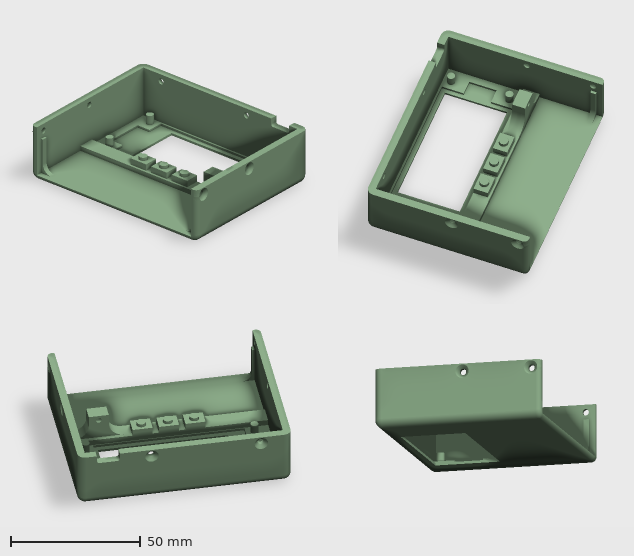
import cadquery as cq

WIDTH = 84.0
DEPTH = 67.0
HEIGHT = 23.0
WALL = 3.0
FLOOR = 2.0
OUTER_RADIUS = 3.0
FRONT_RADIUS = 1.9
INNER_HALF_WIDTH = WIDTH / 2 - WALL
INNER_BACK = DEPTH - WALL
OVERCUT = 0.8

SCREW_DIAMETER = 2.5
SINK_DIAMETER = 5.3
SCREW_Z = HEIGHT - 3.0
SIDE_SCREW_YS = (4.0, 31.5)
BACK_SCREW_XS = (-30.0, 13.1)

NOTCH_X = (25.7, 34.8)
NOTCH_DEPTH = 3.45
NOTCH_RADIUS = 1.0

RECESS_FLOOR = FLOOR / 2
RECESS_X = (-29.5, 30.1)
RECESS_Y = (33.7, 63.25)
LEFT_WING_END = -35.45
LEFT_WING_Y = (40.3, 56.4)
RIGHT_WING_END = 36.0
RIGHT_WING_Y = (42.8, 54.2)
WINDOW_X = (-22.5, 28.5)
WINDOW_Y = (35.5, 61.4)
POST_DIAMETER = 3.1
POST_TOP = 6.0
POST_XS = (-32.9, 33.5)
POST_YS = (36.5, 60.7)

GUIDE_THICKNESS = 1.0
GUIDE_RADIUS = 4.0
GUIDE_TOP = 17.0
GUIDE_Y = (2.5, 4.7)

BAR_FRONT = 26.1
BAR_BACK = 33.0
BAR_TOP = 4.1
BAR_GAP = 0.3
SEAT_FLOOR = RECESS_FLOOR

SWITCH_COUNT = 3
SWITCH_PITCH = 10.4
SWITCH_WIDTH = 7.9
SWITCH_DEPTH = 6.0
BASE_TOP = 6.0
COVER_TOP = 6.9
BUTTON_TOP = 8.15
BUTTON_DIAMETER = 3.5
BUTTON_HOLE_DIAMETER = 3.9
SWITCH_Y = BAR_BACK - SWITCH_DEPTH / 2

BRACKET_X = (23.4, 31.3)
BRACKET_BACK = 31.5
BRACKET_TOP = 14.45
FLARE_RADIUS = 6.0
FOOT_DEPTH = 0.6
BRACKET_HOLE_DIAMETER = 2.3
BRACKET_HOLE_Z = 12.35


def block(x_range, y_range, z_range):
    """A box given by its lower and upper limit along each axis."""
    size = [high - low for low, high in (x_range, y_range, z_range)]
    corner = (x_range[0], y_range[0], z_range[0])
    return cq.Workplane("XY").box(*size, centered=False).translate(corner)


def cylinder(x, y, diameter, bottom, top):
    """An upright cylinder."""
    return cq.Workplane("XY", origin=(x, y, bottom)).circle(diameter / 2).extrude(top - bottom)


def screw_hole(centre, seam_direction, inward):
    """Cutter for a hole through a wall with a 90 degree countersink on the outside."""
    plane = cq.Plane(origin=centre, xDir=seam_direction, normal=inward)
    hole_radius = SCREW_DIAMETER / 2
    sink_radius = SINK_DIAMETER / 2
    shaft = cq.Workplane(plane).circle(hole_radius).extrude(WALL)
    sink = (
        cq.Workplane(plane)
        .circle(sink_radius)
        .workplane(offset=sink_radius - hole_radius)
        .circle(hole_radius)
        .loft()
    )
    return shaft.union(sink)


def make_shell():
    """The tray with its rounded outside edges and its screw holes."""
    shell = cq.Workplane("XY").box(WIDTH, DEPTH, HEIGHT, centered=(True, False, False))
    shell = shell.edges("|Z and >Y").fillet(OUTER_RADIUS)
    shell = shell.faces("<Z").edges("not <Y").fillet(OUTER_RADIUS)
    inside_x = (-INNER_HALF_WIDTH, INNER_HALF_WIDTH)
    shell = shell.cut(block(inside_x, (-OVERCUT, INNER_BACK), (FLOOR, HEIGHT + OVERCUT)))
    for y in SIDE_SCREW_YS:
        for side in (-1, 1):
            centre = (side * WIDTH / 2, y, SCREW_Z)
            shell = shell.cut(screw_hole(centre, (0, -1, 0), (-side, 0, 0)))
    for x in BACK_SCREW_XS:
        shell = shell.cut(screw_hole((x, DEPTH, SCREW_Z), (0, 0, 1), (0, -1, 0)))
    return shell.faces("<Y").edges("<Z").fillet(FRONT_RADIUS)


def make_notch():
    """Cutter for the cable notch, with rounded lower corners."""
    notch_y = (INNER_BACK - OVERCUT, DEPTH + OVERCUT)
    notch_z = (HEIGHT - NOTCH_DEPTH, HEIGHT + OVERCUT)
    return block(NOTCH_X, notch_y, notch_z).edges("|Y and <Z").fillet(NOTCH_RADIUS)


def make_display_recess():
    """Cutter for the display recess, its two wings and the window through the floor."""
    recess_z = (RECESS_FLOOR, FLOOR + OVERCUT)
    recess = block(RECESS_X, RECESS_Y, recess_z)
    recess = recess.union(block((LEFT_WING_END, RECESS_X[0]), LEFT_WING_Y, recess_z))
    recess = recess.union(block((RECESS_X[1], RIGHT_WING_END), RIGHT_WING_Y, recess_z))
    return recess.union(block(WINDOW_X, WINDOW_Y, (-OVERCUT, FLOOR)))


def make_left_guide():
    """The guide on the left wall: a strip that flares into the floor."""
    wall_x = -INNER_HALF_WIDTH
    strip_x = wall_x + GUIDE_THICKNESS
    return (
        cq.Workplane("XZ", origin=(0, GUIDE_Y[1], 0))
        .moveTo(wall_x, FLOOR)
        .lineTo(strip_x + GUIDE_RADIUS, FLOOR)
        .radiusArc((strip_x, FLOOR + GUIDE_RADIUS), GUIDE_RADIUS)
        .lineTo(strip_x, GUIDE_TOP)
        .lineTo(wall_x, GUIDE_TOP)
        .close()
        .extrude(GUIDE_Y[1] - GUIDE_Y[0])
    )


def make_housing():
    """The tray with its notch, display recess, posts, guides and bar seat."""
    body = make_shell().cut(make_notch()).cut(make_display_recess())
    for x in POST_XS:
        for y in POST_YS:
            body = body.union(cylinder(x, y, POST_DIAMETER, FLOOR, POST_TOP))
    left_guide = make_left_guide()
    body = body.union(left_guide).union(left_guide.mirror("YZ"))
    seat_x = (-INNER_HALF_WIDTH, INNER_HALF_WIDTH)
    return body.cut(block(seat_x, (BAR_FRONT, BAR_BACK + BAR_GAP), (SEAT_FLOOR, FLOOR)))


def make_bracket():
    """An upright block with a concave flare on each side, a foot below and a cross hole."""
    left, right = BRACKET_X
    thickness = BRACKET_BACK - BAR_FRONT
    foot_bottom = BAR_TOP - FOOT_DEPTH
    flare_top = BAR_TOP + FLARE_RADIUS
    back_plane = cq.Workplane("XZ", origin=(0, BRACKET_BACK, 0))
    body = (
        back_plane.moveTo(left, foot_bottom)
        .lineTo(right, foot_bottom)
        .lineTo(right, BAR_TOP)
        .lineTo(right + FLARE_RADIUS, BAR_TOP)
        .radiusArc((right, flare_top), FLARE_RADIUS)
        .lineTo(right, BRACKET_TOP)
        .lineTo(left, BRACKET_TOP)
        .lineTo(left, flare_top)
        .radiusArc((left - FLARE_RADIUS, BAR_TOP), FLARE_RADIUS)
        .lineTo(left, BAR_TOP)
        .close()
        .extrude(thickness)
    )
    hole = (
        back_plane.center((left + right) / 2, BRACKET_HOLE_Z)
        .circle(BRACKET_HOLE_DIAMETER / 2)
        .extrude(thickness)
    )
    return body.cut(hole)


def make_bar():
    """The bar between the side walls, with the slot for the bracket foot."""
    bar_x = (-INNER_HALF_WIDTH, INNER_HALF_WIDTH)
    bar = block(bar_x, (BAR_FRONT, BAR_BACK), (SEAT_FLOOR, BAR_TOP))
    return bar.cut(block(BRACKET_X, (BAR_FRONT, BRACKET_BACK), (BAR_TOP - FOOT_DEPTH, BAR_TOP)))


def switch_block(x, bottom, top):
    """A rectangular layer of a switch."""
    layer = cq.Workplane("XY", origin=(x, SWITCH_Y, bottom))
    return layer.rect(SWITCH_WIDTH, SWITCH_DEPTH).extrude(top - bottom)


def make_switch_base(x):
    """The lower block of a switch together with its round button."""
    base = switch_block(x, BAR_TOP, BASE_TOP)
    return base.union(cylinder(x, SWITCH_Y, BUTTON_DIAMETER, BASE_TOP, BUTTON_TOP))


def make_switch_cover(x):
    """The plate on top of a switch base, with a clearance hole for the button."""
    cover = switch_block(x, BASE_TOP, COVER_TOP)
    return cover.cut(cylinder(x, SWITCH_Y, BUTTON_HOLE_DIAMETER, BASE_TOP, COVER_TOP))


housing = make_housing()
bar = make_bar()
bracket = make_bracket()
switch_bases = []
switch_covers = []
for index in range(SWITCH_COUNT):
    switch_x = (index - (SWITCH_COUNT - 1) / 2) * SWITCH_PITCH
    switch_bases.append(make_switch_base(switch_x).val())
    switch_covers.append(make_switch_cover(switch_x).val())

result = cq.Compound.makeCompound(
    [housing.val(), bar.val(), bracket.val(), *switch_bases, *switch_covers]
)